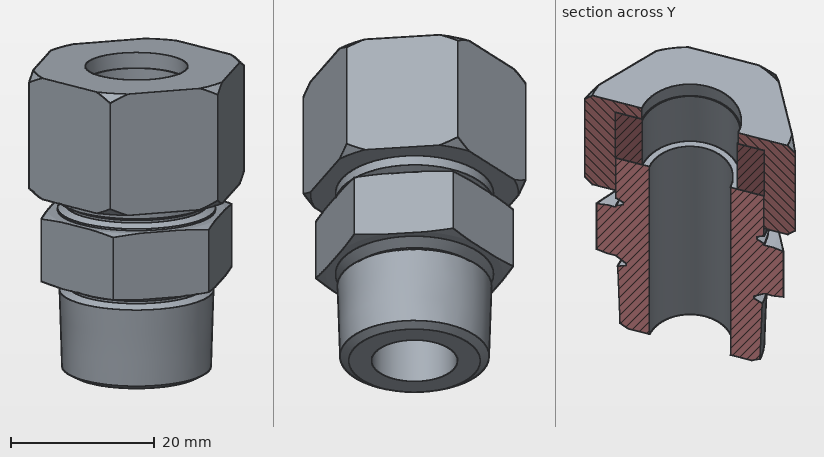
import cadquery as cq
import math


total_height = 44.0
nut_height = 17.5
nut_bottom = total_height - nut_height

nut_flats = 27.0
nut_flat_radius = 14.48
nut_chamfer_angle = 45.0
nut_hole_radius = 7.15
nut_hole_depth = 2.25

tube_radius = 7.0
passage_radius = 6.0

ring_height = 8.8
ring_top = total_height - nut_hole_depth
ring_bottom = ring_top - ring_height

hex_flats = 24.0
hex_bottom = 13.75
hex_top = 23.3
hex_flat_radius = 12.3
hex_chamfer_angle = 11.0

collar_radius = 11.0
upper_groove_radius = 9.9
upper_groove_top = 25.05
upper_groove_bottom = 23.6
upper_groove_floor_height = 0.35

stud_top = 11.8
stud_top_radius = 10.75
stud_taper = 1 / 32
stud_chamfer_height = 0.7
stud_end_radius = 9.15
lower_groove_radius = 9.5
lower_groove_floor_top = 12.7
lower_groove_floor_bottom = 12.35


def revolved(profile):
    """Solid of revolution about Z from (radius, height) points."""
    return cq.Workplane("XZ").polyline(profile).close().revolve(360, (0, 0, 0), (0, 1, 0))


def cylinder(radius, bottom, top):
    """Solid cylinder on the Z axis."""
    return cq.Workplane("XY").workplane(offset=bottom).circle(radius).extrude(top - bottom)


def chamfered_hexagon(flats, bottom, top, flat_radius, angle):
    """Hexagonal prism with corners on the X axis, turned conically at both ends."""
    corner_radius = flats / math.sqrt(3)
    drop = (corner_radius - flat_radius) * math.tan(math.radians(angle))
    prism = (
        cq.Workplane("XY")
        .workplane(offset=bottom)
        .polygon(6, 2 * corner_radius)
        .extrude(top - bottom)
    )
    turned_blank = revolved([
        (0, bottom),
        (flat_radius, bottom),
        (corner_radius, bottom + drop),
        (corner_radius, top - drop),
        (flat_radius, top),
        (0, top),
    ])
    return prism.intersect(turned_blank)


def make_nut():
    """Union nut: tube hole at the top, wider socket below for the ring and the body collar."""
    blank = chamfered_hexagon(nut_flats, nut_bottom, total_height, nut_flat_radius, nut_chamfer_angle)
    tube_hole = cylinder(nut_hole_radius, nut_bottom, total_height)
    socket = cylinder(collar_radius, nut_bottom, ring_top)
    return blank.cut(tube_hole).cut(socket)


def make_ring():
    """Clamping ring held between the nut shoulder and the end of the body."""
    outer = cylinder(collar_radius, ring_bottom, ring_top)
    tube_hole = cylinder(tube_radius, ring_bottom, ring_top)
    return outer.cut(tube_hole)


def make_body():
    """Stud body: tapered stud, hexagon and grooved collar with a passage right through."""
    stud_chamfer_radius = stud_top_radius - stud_taper * (stud_top - stud_chamfer_height)
    stud = revolved([
        (0, 0),
        (stud_end_radius, 0),
        (stud_chamfer_radius, stud_chamfer_height),
        (stud_top_radius, stud_top),
        (lower_groove_radius, lower_groove_floor_bottom),
        (lower_groove_radius, lower_groove_floor_top),
        (collar_radius, hex_bottom),
        (0, hex_bottom),
    ])
    hexagon = chamfered_hexagon(hex_flats, hex_bottom, hex_top, hex_flat_radius, hex_chamfer_angle)
    floor_middle = (upper_groove_top + upper_groove_bottom) / 2
    collar = revolved([
        (0, hex_top),
        (collar_radius, hex_top),
        (collar_radius, upper_groove_bottom),
        (upper_groove_radius, floor_middle - upper_groove_floor_height / 2),
        (upper_groove_radius, floor_middle + upper_groove_floor_height / 2),
        (collar_radius, upper_groove_top),
        (collar_radius, ring_bottom),
        (0, ring_bottom),
    ])
    passage = cylinder(passage_radius, 0, ring_bottom)
    return stud.union(hexagon).union(collar).cut(passage)


nut = make_nut()
ring = make_ring()
body = make_body()

result = cq.Compound.makeCompound([body.val(), nut.val(), ring.val()])